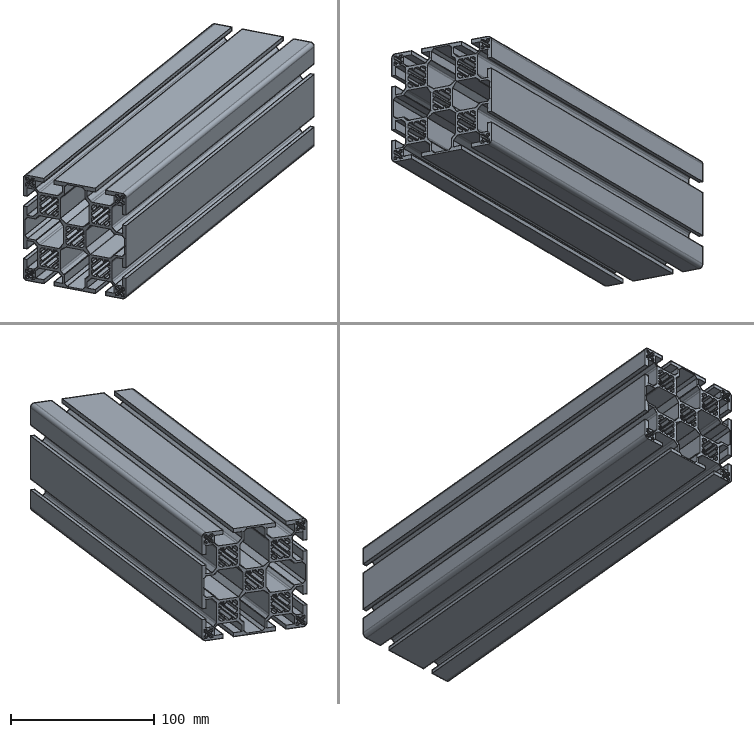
import cadquery as cq

MODULE = 40.0
SIZE = 2 * MODULE
LENGTH = 300.0
EDGE_RADIUS = 3.0
HALF = SIZE / 2
SLOT_CENTRE = MODULE / 2

CORE_HALF = 8.9
CORE_BORE_HALF = 7.0
CORE_CORNER_START = 5.7
TOOTH_DEPTH = 2.0
TOOTH_ROOT_INNER = 1.1
TOOTH_ROOT_OUTER = 3.3
TOOTH_TIP_INNER = 2.65
TOOTH_TIP_OUTER = 3.0

SLOT_OPENING_HALF = 4.0
SLOT_HALF_WIDTH = 10.4
LIP_THICKNESS = 3.0
SLOT_FLOOR = SLOT_CENTRE + CORE_HALF
SLOT_INNER_CHAMFER = 3.4
SLOT_OUTER_CHAMFER = 2.5

CHAMBER_HALF_WIDTH = 8.0
CHAMBER_SKIN = 1.3
CHAMBER_CHAMFER = 2.0
CHAMBER_NECK = 30.2
CHAMBER_STEP = 0.5
CORE_GAP_HALF = SLOT_CENTRE - CORE_HALF
STRUT_OUTER_END = 1.0
STRUT_INNER_END = 2.3
STRUT_FILLET = 2.0

CORNER_CAVITY_HALF = 3.3
CORNER_CENTRE = 35.05
CORNER_TOOTH_ROOT_HALF = 1.4
CORNER_TOOTH_TIP_HALF = 1.0
CORNER_TOOTH_DEPTH = 1.1

SIDES = (0, 90, 180, 270)
SIGNS = (-1, 1)


def prism(points):
    """Full-length prism over a closed outline given in X and Z."""
    return cq.Workplane("XZ").polyline(points).close().extrude(-LENGTH)


def mirrored(points):
    """Outline points followed by their mirror image in X, in reverse order."""
    return points + [(-x, z) for x, z in reversed(points)]


def quarter_turns(points):
    """Outline made of a run of points repeated on all four sides."""
    outline = []
    for _ in SIDES:
        outline += points
        points = [(z, -x) for x, z in points]
    return outline


def t_slot():
    """Top T-slot of the right-hand module, with rounded floor corners."""
    under_lip = HALF - LIP_THICKNESS
    slot = prism([
        (-SLOT_OPENING_HALF, HALF),
        (-SLOT_OPENING_HALF, under_lip),
        (-SLOT_HALF_WIDTH, under_lip),
        (-SLOT_HALF_WIDTH, SLOT_FLOOR + SLOT_INNER_CHAMFER),
        (-SLOT_HALF_WIDTH + SLOT_INNER_CHAMFER, SLOT_FLOOR),
        (SLOT_HALF_WIDTH - SLOT_OUTER_CHAMFER, SLOT_FLOOR),
        (SLOT_HALF_WIDTH, SLOT_FLOOR + SLOT_OUTER_CHAMFER),
        (SLOT_HALF_WIDTH, under_lip),
        (SLOT_OPENING_HALF, under_lip),
        (SLOT_OPENING_HALF, HALF),
    ])
    slot = slot.faces("<Z").edges("|Y").fillet(STRUT_FILLET)
    return slot.translate((SLOT_CENTRE, 0, 0))


def chamber():
    """Hollow chamber between the two top modules, down to the central core tube."""
    ceiling = HALF - CHAMBER_SKIN
    neck_half = CHAMBER_HALF_WIDTH + CHAMBER_STEP
    bend_height = CHAMBER_NECK - (CORE_GAP_HALF - neck_half)
    hollow = prism(mirrored([
        (CHAMBER_HALF_WIDTH - CHAMBER_CHAMFER, ceiling),
        (CHAMBER_HALF_WIDTH, ceiling - CHAMBER_CHAMFER),
        (CHAMBER_HALF_WIDTH, CHAMBER_NECK),
        (neck_half, CHAMBER_NECK),
        (CORE_GAP_HALF, bend_height),
        (CORE_GAP_HALF, CORE_GAP_HALF + STRUT_OUTER_END),
        (CORE_HALF - STRUT_INNER_END, CORE_HALF),
    ]))
    return hollow.faces("<X or >X").edges("|Y").edges(">Z").fillet(STRUT_FILLET)


def core_bore():
    """Bore of a core tube, with two inward teeth on each wall and filled corners."""
    tip = CORE_BORE_HALF - TOOTH_DEPTH
    left_half = [
        (-CORE_CORNER_START, CORE_BORE_HALF),
        (-TOOTH_ROOT_OUTER, CORE_BORE_HALF),
        (-TOOTH_TIP_OUTER, tip),
        (-TOOTH_TIP_INNER, tip),
        (-TOOTH_ROOT_INNER, CORE_BORE_HALF),
    ]
    return prism(quarter_turns(mirrored(left_half)))


def corner_cavity():
    """Square corner cavity with one inward tooth in the middle of each wall."""
    return prism(quarter_turns([
        (-CORNER_CAVITY_HALF, CORNER_CAVITY_HALF),
        (-CORNER_TOOTH_ROOT_HALF, CORNER_CAVITY_HALF),
        (-CORNER_TOOTH_TIP_HALF, CORNER_CAVITY_HALF - CORNER_TOOTH_DEPTH),
        (CORNER_TOOTH_TIP_HALF, CORNER_CAVITY_HALF - CORNER_TOOTH_DEPTH),
        (CORNER_TOOTH_ROOT_HALF, CORNER_CAVITY_HALF),
    ]))


def in_four_quadrants(body, distance):
    """Copies of a body at plus and minus the distance in X and Z."""
    return [body.translate((i * distance, 0, k * distance)) for i in SIGNS for k in SIGNS]


def on_four_sides(body):
    """Copies of a body turned about the profile's long axis onto each side."""
    return [body.rotate((0, 0, 0), (0, 1, 0), side) for side in SIDES]


cutters = [core_bore()]
cutters += in_four_quadrants(core_bore(), SLOT_CENTRE)
cutters += in_four_quadrants(corner_cavity(), CORNER_CENTRE)
cutters += on_four_sides(chamber())
cutters += on_four_sides(t_slot())
cutters += on_four_sides(t_slot().mirror("YZ"))

result = cq.Workplane("XZ").rect(SIZE, SIZE).extrude(-LENGTH).edges("|Y").fillet(EDGE_RADIUS)
for cutter in cutters:
    result = result.cut(cutter)